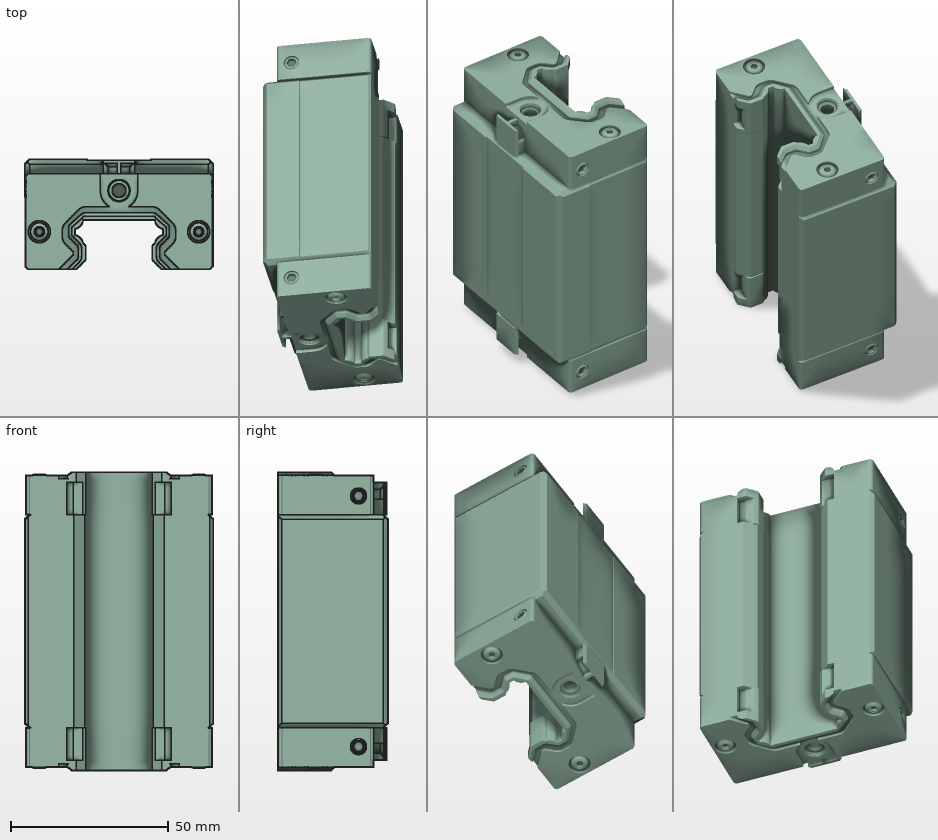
import cadquery as cq

total_length = 94.8
body_width = 60.0
body_height = 35.0
body_length = 67.7

cap_width = 59.2
cap_height = 30.4
cap_corner_radius = 1.1
seal_height = 1.0
cap_end_z = total_length / 2 - seal_height
body_end_z = body_length / 2
lip_thickness = 2.3
lip_z = cap_end_z - lip_thickness

top_chamfer = 1.5
foot_chamfer = 1.1
end_chamfer_across = 1.6
end_chamfer_along = 1.4
top_relief_width = 20.3
top_relief_depth = 0.3
side_relief_height = 23.0
side_relief_depth = 0.3

ceiling_y = 15.6
opening_half_width = 11.5
groove_depth = 2.5
groove_floor_half_height = 0.95
groove_mouth_half_height = 3.1
lobe_mid_depth = 0.8
lobe_mid_half_height = 1.9
groove_y = 11.85
lip_top_y = 8.4
cap_lip_x = 10.5
cap_lip_chamfer = 3.0
body_lip_x = 10.9
body_lip_chamfer = 3.4

seal_bevel = 1.0
recess_depth = 1.0
recess_neck_y = 5.7
recess_fillet = 3.3
seal_fillet = 1.5

port_y = 25.0
port_bore_d = 7.0
port_rim_depth = 0.5
port_seat_d = 6.5
port_seat_depth = 1.4
port_hole_d = 4.4
port_hole_depth = 5.7
tab_radius = 6.0

screw_x = 25.3
screw_y = 11.9
screw_bore_d = 7.0
screw_bore_depth = 1.4
screw_head_d = 5.7
screw_head_above = 0.3
screw_dome_height = 1.3
screw_shoulder_radius = 2.5
screw_shoulder_drop = 0.5
screw_flat_margin = 0.1
socket_rim_d = 3.0
socket_rim_depth = 0.3
hex_size = 2.5
hex_depth = 1.4

side_port_y = 25.6
side_port_z = 39.8
side_port_d = 5.0
side_port_depth = 0.7
side_plug_tip_d = 3.9
side_socket_size = 3.4
side_socket_depth = 1.4

pocket_inner_x = 11.6
pocket_step_x = 14.5
pocket_outer_x = 16.6
pocket_depth = 2.4
pocket_step = 0.3

clip_top_y = 34.6
clip_under_y = 33.7
clip_slope_y = 34.2
clip_half_width = 5.7
clip_rim = 0.2
clip_top_half_width = 5.0
clip_block_half_width = 4.9
clip_block_end_z = 38.8
clip_post_z = 38.4
clip_post_d = 7.0
clip_cone_d = 9.0
clip_cone_height = 1.1
clip_rib_width = 1.0

overrun = 4.7


def mirrored_outline(right_half, z):
    """Closed outline at height z from its right half and the mirror image of it."""
    left_half = [(-x, y) for x, y in reversed(right_half)]
    return cq.Workplane("XY").workplane(offset=z).polyline(right_half + left_half).close()


def rail_opening(lip_x, lip_chamfer, z, length):
    """Rail opening: flat ceiling, a groove between two round lobes in each wall and a bevelled lip."""
    lobe_x = opening_half_width + lobe_mid_depth
    floor_x = opening_half_width + groove_depth
    below = foot_line(lip_x, lip_chamfer)
    half = (
        cq.Workplane("XY")
        .workplane(offset=z)
        .moveTo(0, ceiling_y)
        .lineTo(opening_half_width, ceiling_y)
        .lineTo(opening_half_width, groove_y + groove_mouth_half_height)
        .threePointArc(
            (lobe_x, groove_y + lobe_mid_half_height),
            (floor_x, groove_y + groove_floor_half_height),
        )
        .lineTo(floor_x, groove_y - groove_floor_half_height)
        .threePointArc(
            (lobe_x, groove_y - lobe_mid_half_height),
            (opening_half_width, groove_y - groove_mouth_half_height),
        )
        .lineTo(opening_half_width, lip_top_y)
        .lineTo(lip_x, lip_top_y - (opening_half_width - lip_x))
        .lineTo(lip_x, lip_chamfer)
        .lineTo(*below)
        .lineTo(0, below[1])
        .close()
        .extrude(length)
    )
    return half.union(half.mirror("YZ"))


def round_long_edges(solid, lowest_y, radius):
    """Fillet the edges along Z that lie above lowest_y."""
    return solid.edges("|Z").filter(lambda edge: edge.Center().y > lowest_y).fillet(radius)


def foot_line(x, y):
    """Point below the open side on the 45 degree line that leaves (x, y) outwards."""
    return (x + y + overrun, -overrun)


def box_between(x0, x1, y0, y1, z0, z1):
    """Box given by its lowest and highest X, Y and Z."""
    return cq.Workplane("XY").box(x1 - x0, y1 - y0, z1 - z0, centered=False).translate((x0, y0, z0))


def cylinder_z(x, y, diameter, z0, height):
    """Cylinder along Z that starts at z0."""
    return cq.Workplane("XY").workplane(offset=z0).center(x, y).circle(diameter / 2).extrude(height)


def make_body():
    """Steel carriage body with the rail opening along its whole length."""
    half = body_width / 2
    outline = [
        (half - top_chamfer, body_height),
        (half, body_height - top_chamfer),
        (half, foot_chamfer),
        (half - foot_chamfer, 0),
    ]
    body = mirrored_outline(outline, -body_end_z).extrude(body_length)
    side_relief = box_between(
        -half, -half + side_relief_depth, 0, side_relief_height, -body_end_z, body_end_z
    )
    body = body.cut(side_relief)
    body = body.cut(end_bevels(half))
    top_relief = box_between(
        -top_relief_width / 2, top_relief_width / 2,
        body_height - top_relief_depth, body_height, -body_end_z, body_end_z,
    )
    opening = rail_opening(body_lip_x, body_lip_chamfer, -body_end_z, body_length)
    return body.cut(top_relief).cut(opening)


def end_bevels(half):
    """Wedges that bevel the top and both sides at the two ends of the body.

    The relieved part of the -X side gets its own wedge, set in by the depth of the relief.
    """
    corner = [(0, 0), (-end_chamfer_across, 0), (0, -end_chamfer_along)]
    side = cq.Workplane("XZ").polyline(corner).close().extrude(-body_height)
    side = side.translate((half, 0, body_end_z))
    top = cq.Workplane("YZ").polyline(corner).close().extrude(half, both=True)
    top = top.translate((0, body_height, body_end_z))
    lower_left = side.mirror("YZ").translate((side_relief_depth, side_relief_height - body_height, 0))
    upper = top.union(side).union(side.mirror("YZ")).union(lower_left)
    return upper.union(upper.mirror("XY"))


def make_cap():
    """Plastic end cap at +Z, solid up to its end face, before the opening is cut."""
    cap = box_between(-cap_width / 2, cap_width / 2, 0, cap_height, body_end_z, cap_end_z)
    cap = cap.edges("|Z").fillet(cap_corner_radius)
    for side in (-1, 1):
        cap = cap.cut(foot_pocket(side))
        cap = cut_side_port(cap, side)
    return cap


def foot_pocket(side):
    """Stepped pocket in the underside of the cap, on the +X or the -X foot."""
    pocket = box_between(pocket_inner_x, pocket_outer_x, 0, pocket_depth - pocket_step, body_end_z, lip_z)
    deep = box_between(pocket_step_x, pocket_outer_x, 0, pocket_depth, body_end_z, lip_z)
    pocket = pocket.union(deep)
    return pocket if side > 0 else pocket.mirror("YZ")


def cut_side_port(cap, side):
    """Ring groove around a conical plug with a hexagon socket, in the side of the cap."""
    floor_x = cap_width / 2 - side_port_depth
    plane = cq.Workplane("YZ").workplane(offset=floor_x).center(side_port_y, side_port_z)
    recess = plane.circle(side_port_d / 2).extrude(side_port_depth)
    plug = (
        plane.circle(side_port_d / 2)
        .workplane(offset=side_port_depth)
        .circle(side_plug_tip_d / 2)
        .loft()
    )
    socket = (
        plane.workplane(offset=side_port_depth)
        .polygon(6, side_socket_size)
        .extrude(-side_socket_depth)
    )
    port = recess.cut(plug).union(socket)
    return cap.cut(port if side > 0 else port.mirror("YZ"))


seal_half = [
    (11.5, 17.9),
    (16.0, 13.8),
    (16.0, 10.3),
    (12.9, 7.2),
    (12.9, 3.5),
    foot_line(12.9, 3.5),
]

recess_half = [
    (11.85, 19.9),
    (18.0, 13.7),
    (18.0, 9.0),
    (14.6, 5.6),
    (14.6, 4.55),
    foot_line(14.6, 4.55),
]


def add_end_seal(cap):
    """Recess around the opening and the grease port, with the bevelled seal standing in it."""
    recess_z = cap_end_z - recess_depth
    recess = mirrored_outline(recess_half, recess_z).extrude(recess_depth)
    recess = round_long_edges(recess, recess_neck_y, recess_fillet)
    recess = recess.union(cylinder_z(0, port_y, 2 * tab_radius, recess_z, recess_depth))
    recess = recess.union(box_between(-tab_radius, tab_radius, port_y, cap_height, recess_z, cap_end_z))
    seal = mirrored_outline(seal_half, recess_z).extrude(recess_depth + seal_height)
    seal = round_long_edges(seal, 0, seal_fillet)
    seal = seal.faces(">Z").chamfer(seal_bevel)
    half = cap_width / 2
    seal = seal.intersect(box_between(-half, half, 0, cap_height, recess_z, total_length / 2))
    return cap.cut(recess).union(seal)


def cut_grease_port(cap):
    """Stepped round port in the floor of the end recess."""
    face_z = cap_end_z - recess_depth
    steps = [
        (port_bore_d, port_rim_depth),
        (port_seat_d, port_seat_depth),
        (port_hole_d, port_hole_depth),
    ]
    for diameter, depth in steps:
        cap = cap.cut(cylinder_z(0, port_y, diameter, face_z - depth, depth))
    return cap


def add_screw(cap, x):
    """Domed hexagon-socket screw head in a counterbore."""
    floor_z = cap_end_z - screw_bore_depth
    crown_z = cap_end_z + screw_head_above
    cap = cap.cut(cylinder_z(x, screw_y, screw_bore_d, floor_z, screw_bore_depth))
    head_radius = screw_head_d / 2
    flat_radius = socket_rim_d / 2 + screw_flat_margin
    shoulder_z = crown_z - screw_dome_height
    head = (
        cq.Workplane("XZ")
        .moveTo(0, floor_z)
        .lineTo(head_radius, floor_z)
        .lineTo(head_radius, shoulder_z)
        .threePointArc((screw_shoulder_radius, crown_z - screw_shoulder_drop), (flat_radius, crown_z))
        .lineTo(0, crown_z)
        .close()
        .revolve(360, (0, 0, 0), (0, 1, 0))
        .translate((x, screw_y, 0))
    )
    socket = (
        cq.Workplane("XY")
        .workplane(offset=crown_z - hex_depth)
        .center(x, screw_y)
        .polygon(6, hex_size)
        .extrude(hex_depth)
    )
    rim = cylinder_z(x, screw_y, socket_rim_d, crown_z - socket_rim_depth, socket_rim_depth)
    return cap.union(head.cut(socket).cut(rim))


def make_clip():
    """Clip on the cap: a flange on a conical-necked post, a block and a stiffening rib."""
    flange_outline = [
        (clip_top_half_width, clip_top_y),
        (clip_top_half_width, clip_slope_y),
        (clip_half_width, clip_under_y + clip_rim),
        (clip_half_width, clip_under_y),
    ]
    clip = mirrored_outline(flange_outline, body_end_z).extrude(lip_z - body_end_z)
    clip = clip.union(box_between(
        -clip_block_half_width, clip_block_half_width,
        cap_height, clip_under_y, body_end_z, clip_block_end_z,
    ))
    clip = clip.union(box_between(
        -clip_rib_width / 2, clip_rib_width / 2, cap_height, clip_under_y, body_end_z, lip_z
    ))
    neck_y = clip_under_y - clip_cone_height
    post = (
        cq.Workplane("XY")
        .moveTo(0, cap_height)
        .lineTo(clip_post_d / 2, cap_height)
        .lineTo(clip_post_d / 2, neck_y)
        .lineTo(clip_cone_d / 2, clip_under_y)
        .lineTo(0, clip_under_y)
        .close()
        .revolve(360, (0, 0, 0), (0, 1, 0))
        .translate((0, 0, clip_post_z))
    )
    return clip.union(post)


def make_end():
    """Complete end at +Z: cap, seal, grease port, screws and clip."""
    end = add_end_seal(make_cap())
    end = cut_grease_port(end)
    for x in (-screw_x, screw_x):
        end = add_screw(end, x)
    opening = rail_opening(cap_lip_x, cap_lip_chamfer, body_end_z, total_length / 2 - body_end_z)
    return end.cut(opening).union(make_clip())


end = make_end()
result = make_body().union(end).union(end.mirror("XY"))